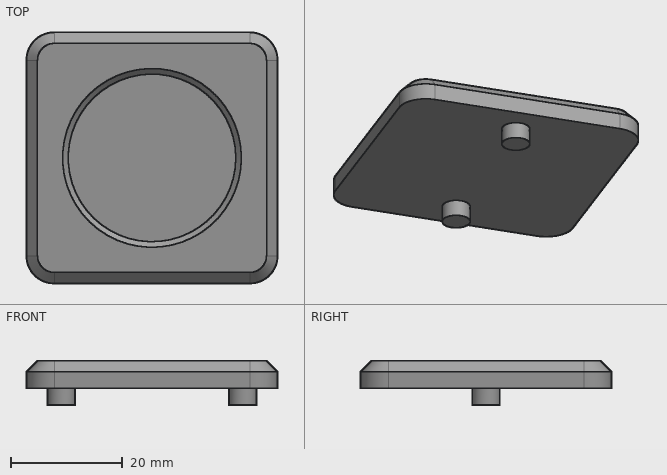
import cadquery as cq

plate_side = 45.0
plate_thickness = 5.0
corner_radius = 5.0
top_chamfer = 2.0

recess_top_diameter = 32.0
recess_floor_diameter = 30.0
recess_depth = 1.0

pin_diameter = 5.0
pin_length = 3.0
pin_spacing = 32.5


def make_plate():
    """Square plate with rounded corners and a chamfered top edge."""
    return (
        cq.Workplane("XY")
        .rect(plate_side, plate_side)
        .extrude(plate_thickness)
        .edges("|Z")
        .fillet(corner_radius)
        .faces(">Z")
        .edges()
        .chamfer(top_chamfer)
    )


def make_recess():
    """Cone-walled volume removed from the top face."""
    return (
        cq.Workplane("XY")
        .workplane(offset=plate_thickness - recess_depth)
        .circle(recess_floor_diameter / 2)
        .workplane(offset=recess_depth)
        .circle(recess_top_diameter / 2)
        .loft(ruled=True)
    )


def make_pins():
    """Pair of round pins along X, hanging from the underside."""
    return (
        cq.Workplane("XY")
        .pushPoints([(-pin_spacing / 2, 0), (pin_spacing / 2, 0)])
        .circle(pin_diameter / 2)
        .extrude(-pin_length)
    )


result = make_plate().cut(make_recess()).union(make_pins())